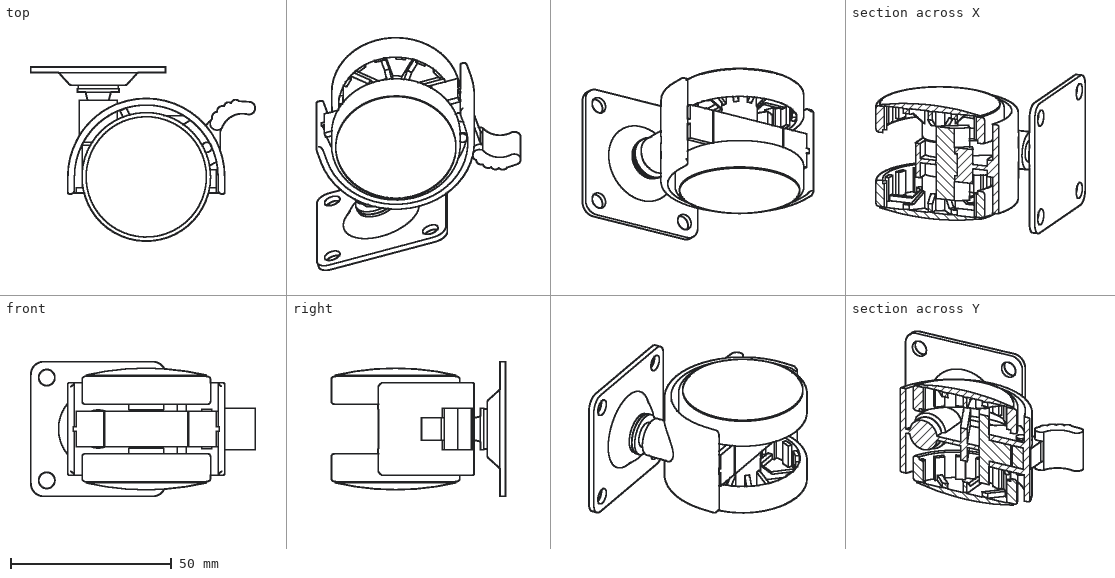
import cadquery as cq
import math


overall_length = 69.9
overall_depth = 54.3
wheel_diameter = 40.05
wheel_radius = wheel_diameter / 2

plate_side = 42.0
plate_thickness = 1.8
plate_back_y = overall_depth - wheel_radius
plate_corner = 4.05
bolt_hole_diameter = 4.95
bolt_spacing = 32.0
stem_x = -14.95
plate_front_y = plate_back_y - plate_thickness
cup_base_radius = 12.4
cup_end_radius = 8.75
cup_height = 4.0
cup_rounding = 1.25
cup_end_y = plate_front_y - cup_height

collar_radius = 6.5
shoulder_radius = 6.3
shoulder_height = 1.0
collar_height = 2.1
neck_top_radius = 4.0
neck_radius = 3.35
socket_top_y = 23.9
stem_tip_y = 11.9
collar_y = cup_end_y - collar_height

shell_radius = 24.5
shell_wall = 2.1
shell_half_height = 14.5
shell_end_y = -5.4
shell_edge = 0.7
shell_corner = 1.1
shell_tip_round = 1.3
inner_radius = shell_radius - shell_wall
web_half_thickness = 0.8
web_overlap = 0.6
core_half_height = 5.6
bar_bottom_y = -5.0
bar_top_y = -3.35
bar_half_length = 21.8
bar_groove_x = 13.1
bar_groove = 0.3
socket_radius = 5.95
socket_shoulder_y = 9.85
socket_chamfer = 1.0
lower_socket_radius = 5.0
stiffener_thickness = 2.2
stiffener_angle = 116
stiffener_place = (-7.2, 21.05)
stiffener_length = 16.8
stop_y = 19.1
stop_end_x = 11.9
pad_half_height = 2.8
pad_top_y = 2.2

box_angle = 29
box_width = 15.25
box_offset = 1.1
shoe_start = 7.9
shoe_thickness = 3.1
shoe_width = 13.7
shoe_half_height = 11.75
box_start = shoe_start + shoe_thickness
pivot_x = 18.9
pivot_y = 9.2
pivot_radius = 1.55
pivot_half_length = 6.2
arm_half_width = 3.5
arm_boss_radius = 2.8
tongue_width = 5.6
grip_half_width = 6.5
grip_tip_x = stem_x - plate_side / 2 + overall_length

rim_inner_radius = 17.8
rim_start_z = 7.7
rim_end_z = 16.35
rim_rounding = 1.0
hub_radius = 5.5
hub_start_z = 5.95
hub_rounding = 0.5
rib_count = 8
rib_thickness = 1.55
rib_hub_z = 11.05
rib_low_z = 14.7
rib_knee_radius = 9.2
post_count = 16
post_depth = 1.3
post_width = 3.1
post_start_z = 8.7
axle_radius = 3.3
cap_radius = 18.75
cap_edge_height = 0.4
cap_top_z = 18.95


def y_cylinder(x, radius, y_start, y_end):
    """Cylinder along Y at the given X."""
    return cq.Workplane("XZ", origin=(x, y_end, 0)).circle(radius).extrude(y_end - y_start)


def z_cylinder(x, y, radius, half_length):
    """Cylinder along Z, centred on Z = 0."""
    return cq.Workplane("XY").center(x, y).circle(radius).extrude(half_length, both=True)


def block(x_min, x_max, y_min, y_max, half_height):
    """Axis-aligned box, centred on Z = 0."""
    base = cq.Workplane("XY").center((x_min + x_max) / 2, (y_min + y_max) / 2)
    return base.rect(x_max - x_min, y_max - y_min).extrude(half_height, both=True)


def arch(radius, end_y, half_height):
    """Half disc with straight legs down to end_y, centred on Z = 0."""
    return (
        cq.Workplane("XY")
        .moveTo(-radius, end_y)
        .lineTo(-radius, 0)
        .threePointArc((0, radius), (radius, 0))
        .lineTo(radius, end_y)
        .close()
        .extrude(half_height, both=True)
    )


def make_plate():
    """Square plate with four bolt holes and a pressed conical cup."""
    plate = (
        cq.Workplane("XZ", origin=(stem_x, plate_back_y, 0))
        .rect(plate_side, plate_side)
        .extrude(plate_thickness)
        .edges("|Y")
        .fillet(plate_corner)
    )
    holes = (
        cq.Workplane("XZ", origin=(stem_x, plate_back_y, 0))
        .rect(bolt_spacing, bolt_spacing, forConstruction=True)
        .vertices()
        .circle(bolt_hole_diameter / 2)
        .extrude(plate_thickness)
    )
    cup = (
        cq.Workplane("XZ", origin=(stem_x, plate_front_y, 0))
        .circle(cup_base_radius)
        .workplane(offset=cup_height)
        .circle(cup_end_radius)
        .loft()
        .faces("<Y")
        .edges()
        .fillet(cup_rounding)
    )
    return plate.cut(holes).union(cup)


def make_stem():
    """Swivel stem: stepped collar, tapered neck and a shank that sits in the housing."""
    collar = y_cylinder(stem_x, collar_radius, collar_y, cup_end_y - shoulder_height)
    shoulder = y_cylinder(stem_x, shoulder_radius, cup_end_y - shoulder_height, cup_end_y)
    neck = (
        cq.Workplane("XZ", origin=(stem_x, collar_y, 0))
        .circle(neck_top_radius)
        .workplane(offset=collar_y - socket_top_y)
        .circle(neck_radius)
        .loft()
    )
    shank = y_cylinder(stem_x, neck_radius, stem_tip_y, socket_top_y)
    return collar.union(shoulder).union(neck).union(shank)


def make_shell():
    """Arched cover around the wheels with rounded edges."""
    outer = (
        arch(shell_radius, shell_end_y, shell_half_height)
        .faces("<Y")
        .edges("|X")
        .chamfer(shell_corner)
        .edges()
        .fillet(shell_edge)
    )
    round_y = shell_end_y + shell_tip_round
    lip_x = inner_radius + shell_tip_round
    arc_x = lip_x - shell_tip_round * math.sqrt(0.5)
    arc_y = shell_end_y + shell_tip_round * (1 - math.sqrt(0.5))
    inner = (
        cq.Workplane("XY")
        .moveTo(-inner_radius, round_y)
        .lineTo(-inner_radius, 0)
        .threePointArc((0, inner_radius), (inner_radius, 0))
        .lineTo(inner_radius, round_y)
        .threePointArc((arc_x, arc_y), (lip_x, shell_end_y))
        .lineTo(-lip_x, shell_end_y)
        .threePointArc((-arc_x, arc_y), (-inner_radius, round_y))
        .close()
        .extrude(shell_half_height, both=True)
    )
    return outer.cut(inner)


def brake_block(start, end, width, half_height):
    """Box lying along the inclined brake direction."""
    return (
        cq.Workplane("XY")
        .transformed(rotate=(0, 0, box_angle))
        .center((start + end) / 2, box_offset)
        .rect(end - start, width)
        .extrude(half_height, both=True)
    )


def make_core():
    """Everything inside the shell: web, bottom bar, hub, stiffeners and brake box."""
    core_radius = inner_radius + web_overlap
    core = arch(core_radius, bar_bottom_y, web_half_thickness)
    core = core.union(block(-bar_half_length, bar_half_length, bar_bottom_y, bar_top_y, core_half_height))
    core = core.union(z_cylinder(0, 0, hub_radius - hub_rounding, core_half_height))
    stiffener = (
        cq.Workplane("XY", origin=(*stiffener_place, 0))
        .transformed(rotate=(0, 0, stiffener_angle))
        .center(-stiffener_length / 2, 0)
        .rect(stiffener_length, stiffener_thickness)
        .extrude(core_half_height, both=True)
    )
    stop = block(stiffener_place[0], stop_end_x, stop_y, shell_radius, pad_half_height)
    pad = block(bar_groove_x, bar_half_length, bar_top_y, pad_top_y, pad_half_height)
    brake_box = brake_block(box_start, inner_radius, box_width, core_half_height)
    core = core.union(stiffener).union(stop).union(pad).union(brake_box)
    return core.intersect(arch(core_radius, bar_bottom_y, core_half_height))


def make_housing(stem, lever, pin, axle):
    """Shell, core and stem socket in one piece, with recesses for the bodies it carries."""
    tube = y_cylinder(stem_x, socket_radius, socket_shoulder_y, socket_top_y)
    tube = tube.faces("<Y").edges().chamfer(socket_chamfer)
    lower = y_cylinder(stem_x, lower_socket_radius, bar_top_y, socket_shoulder_y)
    housing = make_shell().union(make_core()).union(tube).union(lower)
    for groove_x in (-bar_groove_x, bar_groove_x):
        groove_left = groove_x - bar_groove / 2
        groove_right = groove_x + bar_groove / 2
        groove_top = bar_bottom_y + bar_groove
        groove = block(groove_left, groove_right, bar_bottom_y, groove_top, core_half_height)
        housing = housing.cut(groove)
    return housing.cut(stem).cut(lever).cut(pin).cut(axle)


def make_pin():
    """Pivot pin of the brake lever."""
    return z_cylinder(pivot_x, pivot_y, pivot_radius, pivot_half_length)


def make_lever():
    """Brake lever: scalloped grip, arm on the pivot and a brake shoe at the inner end."""
    arm = (
        cq.Workplane("XY")
        .polyline([(pivot_x - arm_boss_radius, pivot_y), (23.1, 8.05), (23.1, 14.2), (23.55, 15.3),
                   (21.7, 17.5), (19.85, 17.5), (18.2, 15.65)])
        .close()
        .extrude(arm_half_width, both=True)
    )
    boss = z_cylinder(pivot_x, pivot_y, arm_boss_radius, arm_half_width)
    grip = (
        cq.Workplane("XY")
        .moveTo(23.55, 15.2)
        .threePointArc((26.8, 18.9), (31.6, 19.45))
        .threePointArc((grip_tip_x, 21.4), (31.9, 23.4))
        .lineTo(28.8, 23.6)
        .threePointArc((27.7, 24.05), (26.4, 23.0))
        .threePointArc((25.0, 23.15), (24.25, 22.0))
        .threePointArc((22.8, 21.8), (22.0, 20.3))
        .threePointArc((20.8, 19.65), (20.5, 18.1))
        .threePointArc((20.0, 16.0), (21.7, 14.6))
        .threePointArc((22.7, 14.7), (23.55, 15.2))
        .close()
        .extrude(grip_half_width, both=True)
    )
    shoe = brake_block(shoe_start, box_start, shoe_width, shoe_half_height)
    tongue = brake_block(box_start, pivot_x, tongue_width, arm_half_width)
    return arm.union(boss).union(tongue).union(shoe).union(grip).cut(make_pin())


def make_axle():
    """Wheel axle, ending flush with the inner faces of the caps."""
    return z_cylinder(0, 0, axle_radius, rim_end_z)


def make_wheel():
    """Upper wheel: rim and hub joined by knee-shaped ribs, with posts inside the rim."""
    rim = cq.Workplane("XY", origin=(0, 0, rim_start_z)).circle(wheel_radius).extrude(rim_end_z - rim_start_z)
    rim = rim.edges().fillet(rim_rounding)
    rim = rim.cut(z_cylinder(0, 0, rim_inner_radius, rim_end_z))
    hub = cq.Workplane("XY", origin=(0, 0, hub_start_z)).circle(hub_radius).extrude(rim_end_z - hub_start_z)
    wheel = rim.union(hub.faces("<Z").edges().fillet(hub_rounding))
    rib_end = (rim_inner_radius + wheel_radius) / 2
    rib = (
        cq.Workplane("XZ")
        .polyline([(0, rib_hub_z), (hub_radius, rib_hub_z), (rib_knee_radius, rib_low_z),
                   (rib_end, rib_low_z), (rib_end, rim_end_z), (0, rim_end_z)])
        .close()
        .extrude(rib_thickness / 2, both=True)
    )
    post = (
        cq.Workplane("XY", origin=(0, 0, post_start_z))
        .center((rim_inner_radius - post_depth + rib_end) / 2, 0)
        .rect(rib_end - rim_inner_radius + post_depth, post_width)
        .extrude(rim_end_z - post_start_z)
    )
    for index in range(rib_count):
        wheel = wheel.union(rib.rotate((0, 0, 0), (0, 0, 1), index * 360 / rib_count))
    for index in range(post_count):
        wheel = wheel.union(post.rotate((0, 0, 0), (0, 0, 1), index * 360 / post_count))
    return wheel.cut(make_axle())


def make_cap():
    """Upper domed cap."""
    edge_z = rim_end_z + cap_edge_height
    rise = cap_top_z - edge_z
    dome_radius = (cap_radius**2 + rise**2) / (2 * rise)
    middle_radius = cap_radius / 2
    middle_z = cap_top_z - dome_radius + math.sqrt(dome_radius**2 - middle_radius**2)
    return (
        cq.Workplane("XZ")
        .moveTo(0, rim_end_z)
        .lineTo(cap_radius, rim_end_z)
        .lineTo(cap_radius, edge_z)
        .threePointArc((middle_radius, middle_z), (0, cap_top_z))
        .close()
        .revolve(360, (0, 0, 0), (0, 1, 0))
    )


plate = make_plate()
stem = make_stem()
pin = make_pin()
lever = make_lever()
axle = make_axle()
housing = make_housing(stem, lever, pin, axle)
wheel = make_wheel()
cap = make_cap()
wheels = [wheel.val()]
caps = [cap.val()]
for bodies in (wheels, caps):
    bodies.append(bodies[0].mirror("XY"))
result = cq.Compound.makeCompound(
    [plate.val(), stem.val(), housing.val(), lever.val(), pin.val(), axle.val(), *wheels, *caps]
)